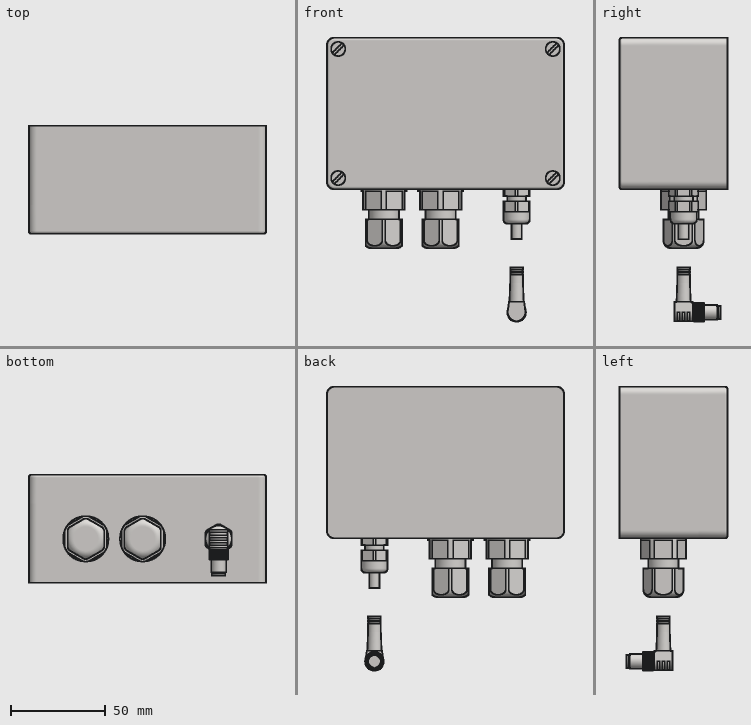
import cadquery as cq
import math


OVERALL_HEIGHT = 149.8
BOX_LENGTH = 125.0
BOX_DEPTH = 57.0
BOX_HEIGHT = 80.0
LID_DEPTH = 15.3
CORNER_RADIUS = 4.0
LID_FILLET = 1.5

SCREW_DIAMETER = 7.5
SCREW_INSET = 6.0
SCREW_RECESS = 1.5
SLOT_WIDTH = 1.5
SLOT_DEPTH = 0.7
SLOT_ANGLE = 45

AXIS_Y = -23.2

GLAND_POSITIONS = (-32.5, -2.5)
GLAND_BODY_ACROSS_FLATS = 22.0
GLAND_BODY_DIAMETER = 24.0
GLAND_FLANGE_HEIGHT = 0.9
GLAND_BODY_BOTTOM = -10.8
GLAND_NECK_DIAMETER = 16.0
GLAND_NUT_TOP = -15.7
GLAND_NUT_BOTTOM = -31.0
GLAND_NUT_ACROSS_FLATS = 19.2
GLAND_NUT_DIAMETER = 21.3
GLAND_NUT_FILLET = 4.0

OUTLET_X = 37.5
OUTLET_ACROSS_FLATS = 14.0
OUTLET_CORNER_DIAMETER = 15.4
OUTLET_BODY_BOTTOM = -3.6
OUTLET_NECK_DIAMETER = 10.0
OUTLET_NUT_TOP = -6.1
OUTLET_NUT_BOTTOM = -11.7
OUTLET_CAP_BOTTOM = -18.1
OUTLET_CAP_FILLET = 2.2
CABLE_DIAMETER = 5.5
CABLE_BOTTOM = -26.2

BOTTOM_Z = BOX_HEIGHT - OVERALL_HEIGHT
COLLAR_DIAMETER = 10.0
CONNECTOR_Z = BOTTOM_Z + COLLAR_DIAMETER / 2
HEAD_DIAMETER = 9.6
HEAD_LENGTH = 9.6
HEAD_TOP = 5.5
HEAD_TOP_WIDTH = 8.1
GRIP_COUNT = 3
GRIP_PITCH = 2.7
GRIP_WIDTH = 1.3
GRIP_DEPTH = 0.22

STEM_BASE_DIAMETER = 7.6
STEM_DIAMETER = 6.9
STEM_CONE_TOP = 15.4
STEM_TOP = 23.8
STEM_BORE_DIAMETER = 4.5
STEM_BORE_DEPTH = 0.3
RING_COUNT = 2
RING_PITCH = 2.0
RING_TOP_WIDTH = 1.0
RING_GROOVE_WIDTH = 1.0
RING_GROOVE_DIAMETER = 6.5

ARM_NECK_DIAMETER = 9.5
ARM_NECK_END = 11.0
COLLAR_SPANS = ((5.7, 7.5), (8.0, 10.6))
COLLAR_TEETH = 40
COLLAR_TOOTH_DEPTH = 0.37
ARM_DIAMETER = 8.0
ARM_END = 17.7
TIP_NECK_DIAMETER = 6.5
TIP_START = 18.3
TIP_DIAMETER = 7.0
TIP_END = 19.5


def cylinder_down(x, diameter, top, bottom):
    """Vertical round bar at x, between two heights below the box."""
    plane = cq.Workplane("XY", origin=(x, AXIS_Y, bottom))
    return plane.circle(diameter / 2).extrude(top - bottom)


def hexagon_down(x, across_flats, corner_diameter, top, bottom):
    """Vertical hexagon with flats facing +-X and corners rounded to a diameter."""
    plane = cq.Workplane("XY", origin=(x, AXIS_Y, bottom))
    full_diameter = across_flats / math.cos(math.pi / 6)
    hexagon = plane.transformed(rotate=(0, 0, 30)).polygon(6, full_diameter).extrude(top - bottom)
    return hexagon.intersect(cylinder_down(x, corner_diameter, top, bottom))


def lid_screw_cut(x, z):
    """Round recess above a screw head, and the slot in the head."""
    plane = cq.Workplane("XZ", origin=(x, -BOX_DEPTH + SCREW_RECESS, z))
    recess = plane.circle(SCREW_DIAMETER / 2).extrude(SCREW_RECESS)
    slot = plane.transformed(rotate=(0, 0, SLOT_ANGLE)).rect(SCREW_DIAMETER, SLOT_WIDTH).extrude(-SLOT_DEPTH)
    slot = slot.intersect(plane.circle(SCREW_DIAMETER / 2).extrude(-SLOT_DEPTH))
    return recess.union(slot)


def box_slab(back, front):
    """Slab of the box with rounded corners, between two distances from the back."""
    plane = cq.Workplane("XZ", origin=(0, -back, BOX_HEIGHT / 2))
    slab = plane.rect(BOX_LENGTH, BOX_HEIGHT).extrude(front - back)
    return slab.edges("|Y").fillet(CORNER_RADIUS)


def make_box():
    """Base and lid of the box; the seam between them stays as an edge."""
    seam = BOX_DEPTH - LID_DEPTH
    base = box_slab(0, seam)
    lid = box_slab(seam, BOX_DEPTH).faces("<Y").edges().fillet(LID_FILLET)
    box = base.union(lid, clean=False)
    for x in (-BOX_LENGTH / 2 + SCREW_INSET, BOX_LENGTH / 2 - SCREW_INSET):
        for z in (SCREW_INSET, BOX_HEIGHT - SCREW_INSET):
            box = box.cut(lid_screw_cut(x, z), clean=False)
    return box


def make_gland(x):
    """Large gland: flange, hexagon body, neck and a domed hexagon nut."""
    flange = cylinder_down(x, GLAND_BODY_DIAMETER, 0, -GLAND_FLANGE_HEIGHT)
    body = hexagon_down(
        x, GLAND_BODY_ACROSS_FLATS, GLAND_BODY_DIAMETER, -GLAND_FLANGE_HEIGHT, GLAND_BODY_BOTTOM
    )
    neck = cylinder_down(x, GLAND_NECK_DIAMETER, GLAND_BODY_BOTTOM, GLAND_NUT_TOP)
    nut = hexagon_down(x, GLAND_NUT_ACROSS_FLATS, GLAND_NUT_DIAMETER, GLAND_NUT_TOP, GLAND_NUT_BOTTOM)
    dome = cylinder_down(x, GLAND_NUT_DIAMETER, GLAND_NUT_TOP, GLAND_NUT_BOTTOM)
    dome = dome.faces("<Z").edges().fillet(GLAND_NUT_FILLET)
    return flange.union(body).union(neck).union(nut.intersect(dome))


def make_cable_outlet():
    """Small gland: hexagon body, neck, hexagon nut, rounded cap and cable stub."""
    x = OUTLET_X
    body = hexagon_down(x, OUTLET_ACROSS_FLATS, OUTLET_CORNER_DIAMETER, 0, OUTLET_BODY_BOTTOM)
    neck = cylinder_down(x, OUTLET_NECK_DIAMETER, OUTLET_BODY_BOTTOM, OUTLET_NUT_TOP)
    nut = hexagon_down(x, OUTLET_ACROSS_FLATS, OUTLET_CORNER_DIAMETER, OUTLET_NUT_TOP, OUTLET_NUT_BOTTOM)
    cap = cylinder_down(x, OUTLET_ACROSS_FLATS, OUTLET_NUT_BOTTOM, OUTLET_CAP_BOTTOM)
    cap = cap.faces("<Z").edges().fillet(OUTLET_CAP_FILLET)
    cable = cylinder_down(x, CABLE_DIAMETER, OUTLET_CAP_BOTTOM, CABLE_BOTTOM)
    return body.union(neck).union(nut).union(cap).union(cable)


def make_enclosure():
    """Box with its two large glands and the small cable outlet."""
    enclosure = make_box()
    for x in GLAND_POSITIONS:
        enclosure = enclosure.union(make_gland(x), clean=False)
    return enclosure.union(make_cable_outlet(), clean=False)




def make_head():
    """Head with a round underside and flanks that lean in, tangent to the round."""
    radius = HEAD_DIAMETER / 2
    top_half = HEAD_TOP_WIDTH / 2
    top_distance = math.hypot(top_half, HEAD_TOP)
    tangent_angle = math.atan2(HEAD_TOP, top_half) - math.acos(radius / top_distance)
    tangent_x = radius * math.cos(tangent_angle)
    tangent_z = radius * math.sin(tangent_angle)
    outline = (
        cq.Workplane("XZ")
        .moveTo(-top_half, HEAD_TOP)
        .lineTo(-tangent_x, tangent_z)
        .threePointArc((0, -radius), (tangent_x, tangent_z))
        .lineTo(top_half, HEAD_TOP)
        .close()
    )
    head = outline.extrude(HEAD_LENGTH / 2, both=True)
    for index in range(GRIP_COUNT):
        y = (index - (GRIP_COUNT - 1) / 2) * GRIP_PITCH
        head = head.cut(grip_groove(y))
    return head


def grip_groove(y):
    """Shallow groove around the lower half of the head."""
    outer = HEAD_DIAMETER / 2 + GRIP_DEPTH
    inner = HEAD_DIAMETER / 2 - GRIP_DEPTH
    profile = (
        cq.Workplane("XZ", origin=(0, y, 0))
        .moveTo(-outer, 0)
        .threePointArc((0, -outer), (outer, 0))
        .lineTo(inner, 0)
        .threePointArc((0, -inner), (-inner, 0))
        .close()
    )
    return profile.extrude(GRIP_WIDTH / 2, both=True)


def make_stem():
    """Tapered stem with a grooved round end and a shallow bore on top."""
    profile = (
        cq.Workplane("XZ")
        .lineTo(STEM_BASE_DIAMETER / 2, 0)
        .lineTo(STEM_BASE_DIAMETER / 2, HEAD_TOP)
        .lineTo(STEM_DIAMETER / 2, STEM_CONE_TOP)
        .lineTo(STEM_DIAMETER / 2, STEM_TOP)
        .lineTo(0, STEM_TOP)
        .close()
    )
    stem = profile.revolve(360, (0, 0), (0, 1))
    for index in range(RING_COUNT):
        groove_top = STEM_TOP - RING_TOP_WIDTH - index * RING_PITCH
        plane = cq.Workplane("XY", origin=(0, 0, groove_top))
        ring = plane.circle(STEM_DIAMETER / 2).circle(RING_GROOVE_DIAMETER / 2)
        stem = stem.cut(ring.extrude(-RING_GROOVE_WIDTH))
    bore = cq.Workplane("XY", origin=(0, 0, STEM_TOP)).circle(STEM_BORE_DIAMETER / 2)
    return stem.cut(bore.extrude(-STEM_BORE_DEPTH))


def arm_cylinder(diameter, start, end):
    """Round bar along the arm between two distances from the stem axis."""
    return cq.Workplane("XZ", origin=(0, start, 0)).circle(diameter / 2).extrude(start - end)


def knurled_collar(start, end):
    """Collar with straight V-shaped teeth around the arm."""
    points = []
    for index in range(2 * COLLAR_TEETH):
        radius = COLLAR_DIAMETER / 2 - COLLAR_TOOTH_DEPTH * (index % 2)
        angle = math.pi * index / COLLAR_TEETH - math.pi / 2
        points.append((radius * math.cos(angle), radius * math.sin(angle)))
    return cq.Workplane("XZ", origin=(0, start, 0)).polyline(points).close().extrude(start - end)


def make_arm():
    """Arm with two knurled collars, a round sleeve and a ringed tip."""
    arm = arm_cylinder(ARM_NECK_DIAMETER, HEAD_LENGTH / 2, ARM_NECK_END)
    for start, end in COLLAR_SPANS:
        arm = arm.union(knurled_collar(start, end))
    sleeve = arm_cylinder(ARM_DIAMETER, ARM_NECK_END, ARM_END)
    tip_neck = arm_cylinder(TIP_NECK_DIAMETER, ARM_END, TIP_START)
    tip = arm_cylinder(TIP_DIAMETER, TIP_START, TIP_END)
    return arm.union(sleeve).union(tip_neck).union(tip)


def make_connector():
    """Angled connector, placed in line with the cable outlet below the box."""
    connector = make_head().union(make_stem()).union(make_arm())
    return connector.translate((OUTLET_X, AXIS_Y, CONNECTOR_Z))


enclosure = make_enclosure()
connector = make_connector()

result = cq.Compound.makeCompound([enclosure.val(), connector.val()])